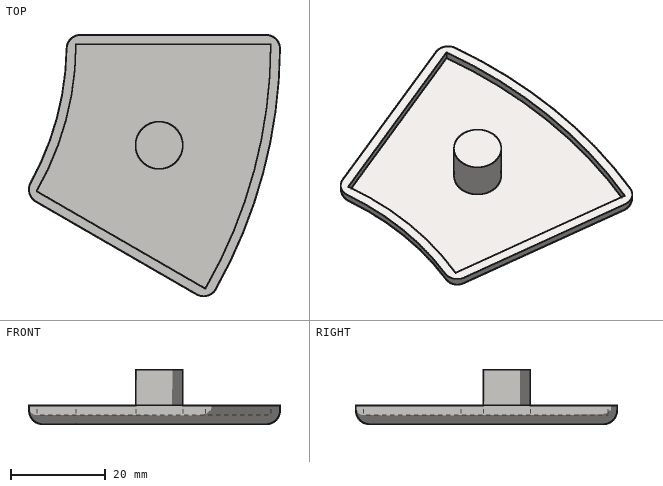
import cadquery as cq
import math

sector_angle = 30.0
pocket_outer_radius = 103.05
pocket_inner_radius = 61.95

wall = 2.0
tray_height = 4.0
pocket_depth = 2.0
edge_radius = 3.0

pin_diameter = 10.0
pin_distance = 82.3
overall_height = 11.5

floor_height = tray_height - pocket_depth


def ring_sector(inner_radius, outer_radius, margin, base_height):
    """Ring-sector outline with its straight sides moved outward by margin."""

    def point(radius, angle):
        return (radius * math.cos(angle), radius * math.sin(angle))

    half_sweep = math.radians(sector_angle / 2)
    middle = -half_sweep
    outer_half = half_sweep + math.asin(margin / outer_radius)
    inner_half = half_sweep + math.asin(margin / inner_radius)
    return (
        cq.Workplane("XY", origin=(0, 0, base_height))
        .moveTo(*point(inner_radius, middle + inner_half))
        .lineTo(*point(outer_radius, middle + outer_half))
        .threePointArc(point(outer_radius, middle), point(outer_radius, middle - outer_half))
        .lineTo(*point(inner_radius, middle - inner_half))
        .threePointArc(point(inner_radius, middle), point(inner_radius, middle + inner_half))
        .close()
    )


def make_tray():
    """Rounded sector plate with a sharp-cornered pocket in its top face."""
    body_inner_radius = pocket_inner_radius - wall
    body_outer_radius = pocket_outer_radius + wall
    body = ring_sector(body_inner_radius, body_outer_radius, wall, 0).extrude(tray_height)
    body = body.edges("|Z").fillet(edge_radius)
    body = body.faces("<Z").edges().fillet(edge_radius)
    pocket = ring_sector(pocket_inner_radius, pocket_outer_radius, 0, floor_height).extrude(pocket_depth)
    return body.cut(pocket)


def make_pin():
    """Round pin near the middle radius, on the middle angle of the sector."""
    pin_angle = math.radians(-sector_angle / 2)
    return (
        cq.Workplane("XY")
        .workplane(offset=floor_height)
        .center(pin_distance * math.cos(pin_angle), pin_distance * math.sin(pin_angle))
        .circle(pin_diameter / 2)
        .extrude(overall_height - floor_height)
    )


result = make_tray().union(make_pin())